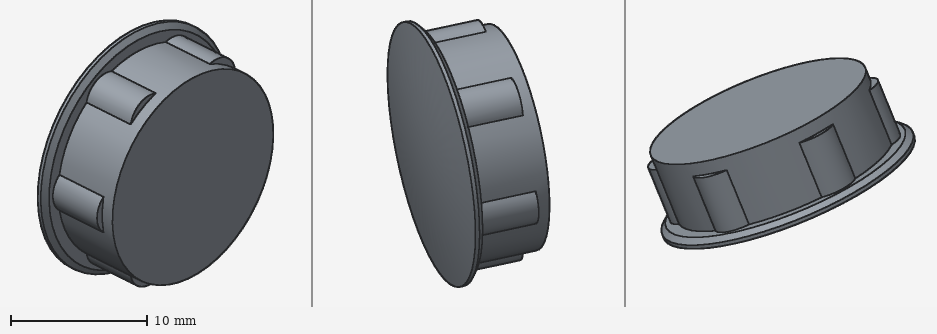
import cadquery as cq

dome_height = 0.75
rim_end = 1.07
flange_end = 1.47
rib_end = 5.97
plug_end = 7.0

flange_radius = 9.95
chamfer_radius = 9.47
plug_radius = 8.52

rib_count = 6
rib_tip_radius = 9.07
rib_radius = 2.03
rib_center_radius = rib_tip_radius - rib_radius


def make_body():
    """Domed flange with a chamfered back, and the plug, revolved about X."""
    dome_radius = (flange_radius**2 + dome_height**2) / (2 * dome_height)
    mid_radius = flange_radius / 2
    mid_depth = dome_radius - (dome_radius**2 - mid_radius**2) ** 0.5
    return (
        cq.Workplane("XZ")
        .moveTo(0, 0)
        .threePointArc((mid_depth, mid_radius), (dome_height, flange_radius))
        .lineTo(rim_end, flange_radius)
        .lineTo(flange_end, chamfer_radius)
        .lineTo(flange_end, plug_radius)
        .lineTo(plug_end, plug_radius)
        .lineTo(plug_end, 0)
        .close()
        .revolve(360, (0, 0, 0), (1, 0, 0))
    )


def make_ribs():
    """Evenly spaced ribs running back from the flange, the first one on +Y."""
    return (
        cq.Workplane("YZ", origin=(rim_end, 0, 0))
        .polarArray(rib_center_radius, 0, 360, rib_count)
        .circle(rib_radius)
        .extrude(rib_end - rim_end)
    )


result = make_body().union(make_ribs())